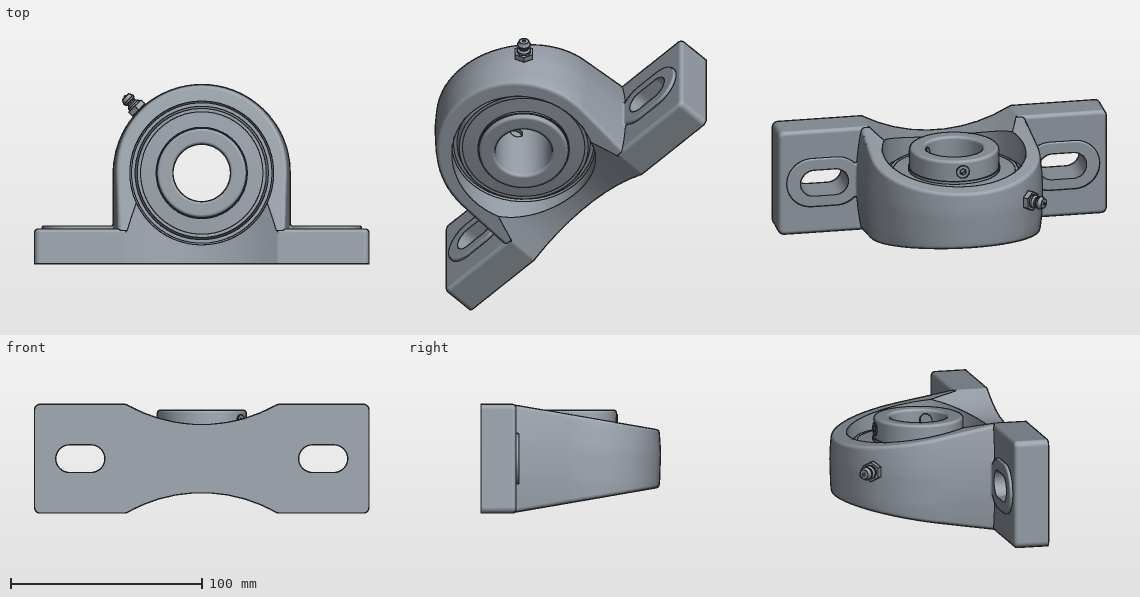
import cadquery as cq
import math

foot_length = 175.0
foot_width = 57.0
foot_height = 18.4
foot_corner_radius = 3.0
foot_edge_radius = 2.1

slot_spacing = 127.0
slot_straight = 11.2
slot_width = 14.4
pad_straight = 13.3
pad_width = 26.6
pad_height = 1.5
pad_edge_radius = 0.9
pad_fillet = 1.0

waist_radius = 79.3
waist_depth = 10.7
waist_edge_radius = 3.0

bore_height = 47.6
body_radius = 46.4
crown_radius = 140.0
face_slope = 9.8
face_half_width_at_bore = 23.0
body_edge_radius = 2.0

opening_diameter = 75.2
shoulder_half_width = 8.8
shoulder_chamfer = 0.9

sphere_diameter = 72.0
outer_ring_half_width = 12.5
outer_ring_bore = 62.3

seal_diameter = 64.0
seal_thickness = 1.8
seal_rise = 0.5

shaft_diameter = 30.0
inner_ring_diameter = 46.7
land_diameter = 47.8
land_rise = 1.4
inner_ring_top = 25.4
inner_ring_bottom = -17.5
inner_ring_rounding = 1.5

screw_diameter = 6.8
screw_height = 19.6
screw_angles = (90.0, -30.0)
screw_inner_radius = 16.5
screw_outer_radius = 23.8
socket_flats = 3.0
socket_depth = 3.0

nipple_angle = 135.0
nipple_offset = 4.9
nipple_root = 40.2
stem_diameter = 6.0
hex_start = 46.5
hex_corners = 10.5
hex_end = 49.5
cone_radius = 3.5
cone_start = 50.5
neck_radius = 2.5
neck_start = 51.6
neck_end = 52.5
head_back_radius = 3.2
head_back = 53.2
head_radius = 3.41
head_peak = 54.2
tip_radius = 2.5
tip_end = 56.4
ball_diameter = 1.5

half_width = foot_width / 2
bore_axis = cq.Vector(0, bore_height, 0)


def mirrored_pair(shape):
    """The shape together with its mirror image across the plane Z = 0."""
    return shape.union(shape.mirror("XY"))


def radial_plane(angle, height):
    """A plane centred on the bore axis, with its normal pointing radially at the angle."""
    direction = (math.cos(math.radians(angle)), math.sin(math.radians(angle)), 0)
    return cq.Plane(origin=(0, bore_height, height), xDir=(0, 0, 1), normal=direction)


def cylinder(diameter, bottom, top):
    """A cylinder on the bore axis between two heights."""
    plane = cq.Workplane("XY", origin=(0, bore_height, bottom))
    return plane.circle(diameter / 2).extrude(top - bottom)


def ring_profile():
    """A workplane whose X is the distance from the bore axis and whose Y is Z."""
    return cq.Workplane("XZ", origin=bore_axis.toTuple())


def foot():
    plate = cq.Workplane("XY").box(foot_length, foot_height, foot_width, centered=(True, False, True))
    plate = plate.edges("|Y").fillet(foot_corner_radius)
    return plate.faces(">Y").edges().fillet(foot_edge_radius)


def crowned_profile():
    """Half of the body's cross section: X is the distance from the middle, Y is Z."""
    end_z = half_width + waist_depth
    end_x = body_radius - (crown_radius - math.sqrt(crown_radius**2 - end_z**2))
    return (
        ring_profile()
        .moveTo(0, -end_z)
        .lineTo(end_x, -end_z)
        .threePointArc((body_radius, 0), (end_x, end_z))
        .lineTo(0, end_z)
        .close()
    )


def wedge():
    """A prism along X whose two Z faces slope towards each other with rising Y."""
    slope = math.tan(math.radians(face_slope))
    top_y = bore_height + 2 * body_radius
    root_half = face_half_width_at_bore + slope * bore_height
    top_half = face_half_width_at_bore - slope * (top_y - bore_height)
    outline = [(0, -root_half), (0, root_half), (top_y, top_half), (top_y, -top_half)]
    return cq.Workplane("YZ").polyline(outline).close().extrude(foot_length / 2, both=True)


def bearing_body():
    dome = crowned_profile().revolve(360, (0, 0, 0), (0, 1, 0))
    half_leg = crowned_profile().extrude(bore_height)
    body = dome.union(half_leg).union(half_leg.mirror("YZ")).intersect(wedge())
    body = body.faces(">Z or <Z").edges().fillet(body_edge_radius)
    envelope = cq.Workplane("XY").box(
        foot_length, bore_height + 2 * body_radius, foot_width, centered=(True, False, True)
    )
    return body.intersect(envelope)


def stadium(length, width, height):
    """Two upright stadium prisms on Y = 0, one at each bolt position."""
    centers = [(-slot_spacing / 2, 0), (slot_spacing / 2, 0)]
    return cq.Workplane("XZ").pushPoints(centers).slot2D(length, width).extrude(-height)


def waist():
    """The scoop on the +Z side, with rounded edges where it meets the foot faces."""
    axis_z = half_width - waist_depth + waist_radius
    round_z = half_width - waist_edge_radius
    center_distance = waist_radius + waist_edge_radius
    round_x = math.sqrt(center_distance**2 - (axis_z - round_z) ** 2)
    tangent_x = round_x * waist_radius / center_distance
    tangent_z = axis_z - (axis_z - round_z) * waist_radius / center_distance
    half_angle = math.asin(round_x / center_distance) / 2
    mid_x = round_x - waist_edge_radius * math.sin(half_angle)
    mid_z = round_z + waist_edge_radius * math.cos(half_angle)
    profile = (
        cq.Workplane("XZ")
        .moveTo(round_x, half_width)
        .threePointArc((mid_x, mid_z), (tangent_x, tangent_z))
        .threePointArc((0, half_width - waist_depth), (-tangent_x, tangent_z))
        .threePointArc((-mid_x, mid_z), (-round_x, half_width))
        .close()
    )
    return profile.extrude(-(bore_height + 2 * body_radius))


def bearing_opening():
    """The wide bore above the shoulder, narrowing slightly at its bottom."""
    opening = cylinder(opening_diameter, shoulder_half_width, foot_width)
    return opening.faces("<Z").edges().chamfer(shoulder_chamfer)


def bearing_sphere():
    return cq.Workplane("XY", origin=bore_axis.toTuple()).sphere(sphere_diameter / 2)


def make_nipple():
    axis_plane = radial_plane(nipple_angle, nipple_offset)
    hexagon = (
        cq.Workplane(axis_plane)
        .workplane(offset=hex_start)
        .polygon(6, hex_corners)
        .extrude(hex_end - hex_start)
    )
    turned_profile = [
        (0, nipple_root),
        (stem_diameter / 2, nipple_root),
        (stem_diameter / 2, hex_start),
        (cone_radius, hex_start),
        (cone_radius, cone_start),
        (neck_radius, neck_start),
        (neck_radius, neck_end),
        (head_back_radius, head_back),
        (head_radius, head_peak),
        (tip_radius, tip_end),
        (0, tip_end),
    ]
    turned = cq.Workplane("XZ").polyline(turned_profile).close().revolve(360, (0, 0, 0), (0, 1, 0))
    ball = cq.Workplane("XY", origin=(0, 0, tip_end)).sphere(ball_diameter / 2)
    turned = turned.union(ball).val().moved(cq.Location(axis_plane))
    return hexagon.union(cq.Workplane(turned))


def bolt_pads():
    """The raised pads around the bolt slots, rounded along their top edges."""
    pads = stadium(pad_straight + pad_width, pad_width, foot_height + pad_height)
    return pads.faces(">Y").edges().fillet(pad_edge_radius)


def blend_pads_into_body(housing):
    """Fillet the short edges where the pad tops run into the body walls."""
    pad_top = foot_height + pad_height
    for side in (1, -1):
        low = (side * body_radius - 1.8, pad_top - 0.2, -pad_width / 2)
        high = (side * body_radius + 1.8, pad_top + 0.2, pad_width / 2)
        housing = housing.edges(cq.selectors.BoxSelector(low, high)).fillet(pad_fillet)
    return housing


def make_housing(nipple):
    housing = foot().union(bearing_body()).union(bolt_pads())
    housing = blend_pads_into_body(housing)
    slots = stadium(slot_straight + slot_width, slot_width, foot_height + pad_height)
    housing = housing.cut(mirrored_pair(waist())).cut(slots)
    housing = housing.cut(bearing_sphere()).cut(mirrored_pair(bearing_opening()))
    return housing.cut(nipple)


def make_outer_ring():
    ring = bearing_sphere().intersect(
        cylinder(sphere_diameter, -outer_ring_half_width, outer_ring_half_width)
    )
    ring = ring.cut(cylinder(outer_ring_bore, -outer_ring_half_width, outer_ring_half_width))
    seat = cylinder(seal_diameter, outer_ring_half_width - seal_thickness, outer_ring_half_width)
    return ring.cut(mirrored_pair(seat))


def make_seal(side):
    """A seal whose outer face rises gently towards its bore; side is 1 for +Z and -1 for -Z."""
    outer_face = outer_ring_half_width
    inner_face = outer_face - seal_thickness
    return (
        ring_profile()
        .polyline(
            [
                (land_diameter / 2, side * inner_face),
                (seal_diameter / 2, side * inner_face),
                (seal_diameter / 2, side * outer_face),
                (land_diameter / 2, side * (outer_face + seal_rise)),
            ]
        )
        .close()
        .revolve(360, (0, 0, 0), (0, 1, 0))
    )


def screw_hole(angle):
    hole_plane = cq.Workplane(radial_plane(angle, screw_height))
    return hole_plane.circle(screw_diameter / 2).extrude(inner_ring_diameter)


def make_inner_ring():
    ring = cylinder(inner_ring_diameter, inner_ring_bottom, inner_ring_top)
    ring = ring.cut(cylinder(shaft_diameter, inner_ring_bottom, inner_ring_top))
    ring = ring.faces(">Z or <Z").edges().fillet(inner_ring_rounding)
    land_end = outer_ring_half_width + seal_rise + land_rise
    land = cylinder(land_diameter, -land_end, land_end)
    ring = ring.union(land.cut(cylinder(shaft_diameter, -land_end, land_end)))
    for angle in screw_angles:
        ring = ring.cut(screw_hole(angle))
    return ring


def make_set_screw(angle):
    screw = (
        cq.Workplane(radial_plane(angle, screw_height))
        .workplane(offset=screw_inner_radius)
        .circle(screw_diameter / 2)
        .extrude(screw_outer_radius - screw_inner_radius)
    )
    socket_corners = socket_flats / math.cos(math.pi / 6)
    socket = (
        cq.Workplane(radial_plane(angle, screw_height))
        .workplane(offset=screw_outer_radius - socket_depth)
        .polygon(6, socket_corners)
        .extrude(socket_depth)
    )
    return screw.cut(socket)


nipple = make_nipple()
housing = make_housing(nipple)
outer_ring = make_outer_ring()
inner_ring = make_inner_ring()
seals = [make_seal(side) for side in (1, -1)]
set_screws = [make_set_screw(angle) for angle in screw_angles]

result = cq.Compound.makeCompound(
    [
        housing.val(),
        nipple.val(),
        outer_ring.val(),
        inner_ring.val(),
        *[seal.val() for seal in seals],
        *[screw.val() for screw in set_screws],
    ]
)